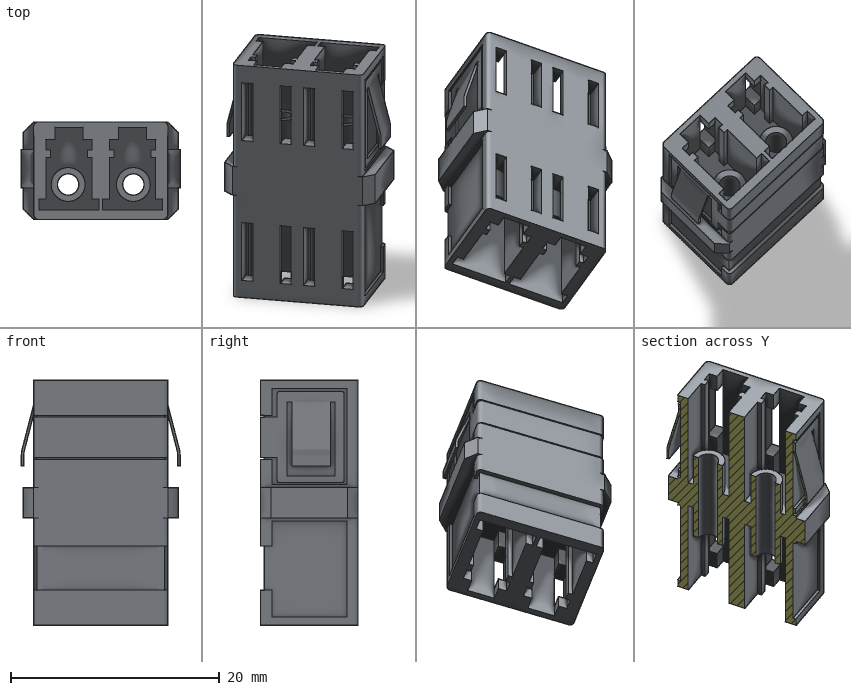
import cadquery as cq
import math


height = 23.5
body_width = 12.85
body_depth = 9.35
corner_radius = 0.42
flange_overhang = 1.0
flange_thickness = 2.91

side_recess_depth = 0.3
front_recess_depth = 0.35
pocket_back = 3.6
pocket_front = -3.57
pocket_low = 1.75
pocket_high = 10.93
groove_low = 4.15
groove_high = 8.37

cavity_offset = 3.05
cavity_half_width = 2.197
rib_half_gap = 1.76
latch_half_width = 1.351
foot_half_width = 2.87
latch_back = 4.15
shoulder_back = 2.98
rib_back = 2.0
rib_front = 1.3
foot_back = -2.73
foot_front = -3.78
floor_level = flange_thickness / 2

window_half_width = 2.45
window_top = 10.0
window_bottom = 4.15

sleeve_offset = 3.13
sleeve_y = -1.32
sleeve_radius = 1.62
bore_radius = 1.0
sleeve_top = 4.94

clip_thickness = 0.25
clip_corner_radius = 0.5
band_low = 4.32
band_high = 8.2
plate_back = 3.34
plate_front = -3.08
plate_low = 1.93
plate_high = 10.67
plate_corner_radius = 0.24
opening_back = 2.5
opening_front = -2.15
opening_low = 2.58
opening_high = 9.64

tab_back = 2.05
tab_front = -1.65
tab_low = 3.52
tab_angle = math.radians(14.5)
tab_bend_radius = 2.68
tab_reach = 7.625

half_width = body_width / 2
half_depth = body_depth / 2
half_height = height / 2
recess_half_width = half_width - side_recess_depth
recess_front = -(half_depth - front_recess_depth)
clip_half_width = recess_half_width + clip_thickness
clip_inner_front = -(half_depth - clip_thickness)


def block(x_range, y_range, z_range):
    """Box between two limits on each axis."""
    (x0, x1), (y0, y1), (z0, z1) = x_range, y_range, z_range
    return cq.Workplane("XY").box(x1 - x0, y1 - y0, z1 - z0, centered=False).translate((x0, y0, z0))


def mirrored_x(shape):
    """The shape with its mirror image across X = 0."""
    return shape.union(shape.mirror("YZ"))


def mirrored_z(shape):
    """The shape with its mirror image across Z = 0."""
    return shape.union(shape.mirror("XY"))


def make_shell():
    """Rounded block with the chamfered mounting flange round its middle."""
    body = cq.Workplane("XY").box(body_width, body_depth, height).edges("|Z").fillet(corner_radius)
    flange = cq.Workplane("XY").box(body_width + 2 * flange_overhang, body_depth, flange_thickness)
    return body.union(flange.edges("|Z").chamfer(flange_overhang))


def make_clip_recess(core_radius):
    """Side pockets and the front groove that joins them, round a core with the given front corners."""
    pocket = block(
        (recess_half_width, half_width), (pocket_front, pocket_back), (pocket_low, pocket_high))
    groove = block(
        (-half_width, half_width), (-half_depth, pocket_front), (groove_low, groove_high))
    core = block(
        (-recess_half_width, recess_half_width), (recess_front, half_depth), (groove_low, groove_high))
    if core_radius > 0:
        core = core.edges("|Z and <Y").fillet(core_radius)
    return mirrored_x(pocket).union(groove.cut(core))


def make_cavity():
    """Upper right plug cavity with its latch slot, guide ribs and foot."""
    right_side = [
        (latch_half_width, latch_back),
        (latch_half_width, shoulder_back),
        (cavity_half_width, shoulder_back),
        (cavity_half_width, rib_back),
        (rib_half_gap, rib_back),
        (rib_half_gap, rib_front),
        (cavity_half_width, rib_front),
        (cavity_half_width, foot_back),
        (foot_half_width, foot_back),
        (foot_half_width, foot_front),
    ]
    left_side = [(-x, y) for x, y in reversed(right_side)]
    cavity = cq.Workplane("XY").workplane(offset=floor_level).polyline(right_side + left_side).close()
    window = block(
        (latch_half_width, window_half_width), (shoulder_back, half_depth), (window_bottom, window_top))
    return cavity.extrude(half_height - floor_level).union(mirrored_x(window)).translate((cavity_offset, 0, 0))


def make_cylinder(radius, half_length):
    """Cylinder on the right ferrule axis, centred on Z = 0."""
    base = cq.Workplane("XY").workplane(offset=-half_length).center(sleeve_offset, sleeve_y)
    return base.circle(radius).extrude(2 * half_length)


def make_housing():
    housing = make_shell()
    housing = housing.cut(make_clip_recess(corner_radius))
    housing = housing.cut(make_clip_recess(0).mirror("XY"))
    housing = housing.cut(mirrored_x(mirrored_z(make_cavity())))
    housing = housing.union(mirrored_x(make_cylinder(sleeve_radius, sleeve_top)))
    return housing.cut(mirrored_x(make_cylinder(bore_radius, sleeve_top)))


def make_band():
    """U-shaped strip with rounded front corners, reaching back to the side plates."""
    outer = block((-clip_half_width, clip_half_width), (-half_depth, plate_front), (band_low, band_high))
    inner = block(
        (-recess_half_width, recess_half_width), (clip_inner_front, plate_front), (band_low, band_high))
    outer = outer.edges("|Z and <Y").fillet(clip_corner_radius)
    inner = inner.edges("|Z and <Y").fillet(clip_corner_radius - clip_thickness)
    return outer.cut(inner)


def make_plate():
    """Right side plate with its rectangular opening."""
    span = (recess_half_width, clip_half_width)
    plate = block(span, (plate_front, plate_back), (plate_low, plate_high))
    plate = plate.edges("|X").fillet(plate_corner_radius)
    return plate.cut(block(span, (opening_front, opening_back), (opening_low, opening_high)))


def make_tab():
    """Right spring tab: slopes out from the top of the opening, then bends to hang straight down."""
    inner_radius = tab_bend_radius - clip_thickness
    bend_x = tab_reach - tab_bend_radius
    slope = math.tan(tab_angle)

    def bend_point(radius, angle):
        return (bend_x + radius * math.cos(angle), bend_z + radius * math.sin(angle))

    slope_run = bend_x + tab_bend_radius * math.cos(tab_angle) - clip_half_width
    bend_z = opening_high - slope_run / slope - tab_bend_radius * math.sin(tab_angle)

    inner_bend_start = bend_point(inner_radius, tab_angle)
    inner_root_z = inner_bend_start[1] + (inner_bend_start[0] - recess_half_width) / slope
    profile = (
        cq.Workplane("XZ", origin=(0, tab_back, 0))
        .moveTo(recess_half_width, opening_high)
        .lineTo(clip_half_width, opening_high)
        .lineTo(*bend_point(tab_bend_radius, tab_angle))
        .threePointArc(bend_point(tab_bend_radius, tab_angle / 2), bend_point(tab_bend_radius, 0))
        .lineTo(tab_reach, tab_low)
        .lineTo(tab_reach - clip_thickness, tab_low)
        .lineTo(*bend_point(inner_radius, 0))
        .threePointArc(bend_point(inner_radius, tab_angle / 2), inner_bend_start)
        .lineTo(recess_half_width, inner_root_z)
        .close()
    )
    return profile.extrude(tab_back - tab_front)


def make_clip():
    return make_band().union(mirrored_x(make_plate().union(make_tab())))


housing = make_housing()
clip = make_clip()

result = cq.Compound.makeCompound([housing.val(), clip.val()])